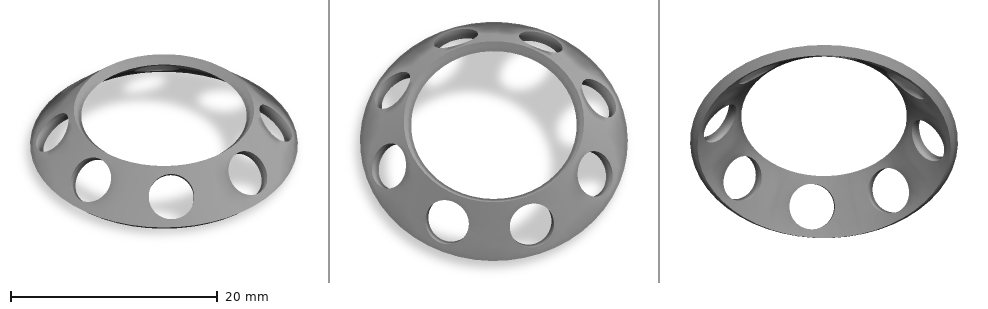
import cadquery as cq
import math

outer_radius = 12.96
height = 4.95
wall_thickness = 1.0
hole_diameter = 4.4
hole_count = 8

wall_step = wall_thickness / math.sqrt(2)
slope_run = height - wall_step
top_radius = outer_radius - slope_run


def conical_ring():
    """Revolve the tilted rectangular wall section about Z."""
    section = [
        (outer_radius, wall_step),
        (top_radius, height),
        (top_radius - wall_step, height - wall_step),
        (outer_radius - wall_step, 0),
    ]
    return cq.Workplane("XZ").polyline(section).close().revolve(360, (0, 0, 0), (0, 1, 0))


def wall_hole(angle):
    """Cutter square to the wall, centred halfway up its slope."""
    cutter_length = 4 * wall_thickness
    center = cq.Vector(outer_radius - slope_run / 2, 0, wall_step + slope_run / 2)
    outward = cq.Vector(1, 0, 1).normalized()
    start = center - outward * (cutter_length / 2)
    cutter = cq.Solid.makeCylinder(hole_diameter / 2, cutter_length, start, outward)
    return cutter.rotate(cq.Vector(0, 0, 0), cq.Vector(0, 0, 1), angle)


result = conical_ring()
for index in range(hole_count):
    result = result.cut(cq.Workplane(obj=wall_hole(index * 360 / hole_count)))